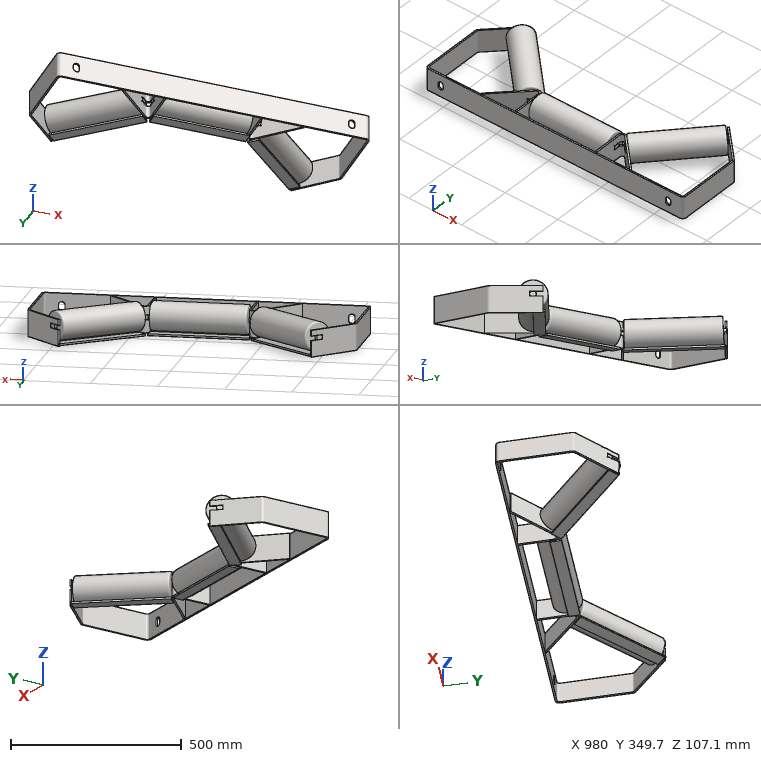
import cadquery as cq
import math

strip = 6.0
height = 80.0

lean = 45.0
half_lean = math.radians(lean / 2)

frame_length = 980.0
base_bend = 13.0
side_height = 235.0
arm_rise = 113.0
mount_hole_x = 432.0
mount_hole_length = 28.0
mount_hole_width = 20.0

leg_x = 149.0
leg_crossing_y = 147.0
leg_bend = 14.0

roller_diameter = 89.0
roller_length = 291.0
roller_edge = 5.0
support_gap = 2 * leg_x
shaft_radius = 10.0
shaft_flats = 14.0
shaft_length = support_gap + 2 * strip

slot_length = 333.0
slot_rise = 49.0

guard_length = 302.0
guard_width = 35.0
guard_top = 47.0

middle_y = 100.0
middle_z = 7.0
wing_x = 288.0
wing_y = 217.0
wing_z = 11.0
wing_tilt = 1.9

pick = 0.5


def corner_box(x, y):
    """Selector for the upright edge at one corner of a strip outline."""
    return cq.selectors.BoxSelector((x - pick, y - pick, -height), (x + pick, y + pick, height))


def make_frame():
    half = frame_length / 2
    tip_x = half - arm_rise
    tip_y = side_height + arm_rise
    skew = strip * math.sin(math.radians(lean))
    mitre = strip * math.tan(half_lean)
    right = [
        (half, 0),
        (half, side_height),
        (tip_x, tip_y),
        (tip_x - skew, tip_y - skew),
        (half - strip, side_height - mitre),
        (half - strip, strip),
    ]
    left = [(-x, y) for x, y in reversed(right)]
    frame = cq.Workplane("XY", origin=(0, 0, -height / 2)).polyline(right + left).close().extrude(height)
    outer = [right[0], right[1], left[-1], left[-2]]
    inner = [right[4], right[5], left[0], left[1]]
    for x, y in outer:
        frame = frame.edges(corner_box(x, y)).fillet(base_bend)
    for x, y in inner:
        frame = frame.edges(corner_box(x, y)).fillet(base_bend - strip)
    holes = (
        cq.Workplane("XZ")
        .pushPoints([(-mount_hole_x, 0), (mount_hole_x, 0)])
        .slot2D(mount_hole_length, mount_hole_width, 90)
        .extrude(-strip)
    )
    return frame.cut(holes)


def make_bracket(side):
    skew = strip * math.sin(math.radians(lean))
    foot_x = leg_x + leg_crossing_y - strip - 2 * skew
    inner_crossing = (leg_x + strip, leg_crossing_y - strip - 2 * skew)
    outline = [
        (leg_x, strip),
        (leg_x, leg_crossing_y),
        (foot_x + skew, strip + skew),
        (foot_x, strip),
        inner_crossing,
        (leg_x + strip, strip),
    ]
    points = [(side * x, y) for x, y in outline]
    bracket = cq.Workplane("XY", origin=(0, 0, -height / 2)).polyline(points).close().extrude(height)
    bracket = bracket.edges(corner_box(*points[1])).fillet(leg_bend)
    return bracket.edges(corner_box(*points[4])).fillet(leg_bend - strip)


def place(body, side):
    """Move a body from its own axis to the left (-1), middle (0) or right (1) place."""
    if side == 0:
        return body.translate((0, middle_y, middle_z))
    body = body.rotate((0, 0, 0), (0, 1, 0), -side * wing_tilt)
    body = body.rotate((0, 0, 0), (0, 0, 1), side * lean)
    return body.translate((side * wing_x, wing_y, wing_z))


def make_cylinder(radius, length):
    """Cylinder along X, centred on the origin."""
    return cq.Workplane("YZ", origin=(-length / 2, 0, 0)).circle(radius).extrude(length)


def make_roller():
    """Roller drum with a shaft that has two flats and reaches through both supports."""
    drum = make_cylinder(roller_diameter / 2, roller_length)
    drum = drum.faces("<X or >X").edges().fillet(roller_edge)
    shaft = make_cylinder(shaft_radius, shaft_length)
    flats = cq.Workplane("XY").box(shaft_length, 2 * shaft_radius, shaft_flats)
    return drum.union(shaft.intersect(flats))


def make_guard():
    guard = cq.Workplane("XY").box(guard_length, guard_width, strip, centered=(True, False, False))
    return guard.translate((0, 0, -guard_top - strip))


def make_slot():
    """Cutter for a shaft slot that is open towards +Y."""
    width = shaft_radius + slot_rise
    slot = cq.Workplane("XY").box(slot_length, width, shaft_flats, centered=(True, False, True))
    return slot.translate((0, -shaft_radius, 0))


sides = (-1, 1)
places = (-1, 0, 1)

frame = make_frame()
for side in sides:
    frame = frame.cut(place(make_slot(), side))
brackets = [make_bracket(side).cut(place(make_slot(), side)).cut(place(make_slot(), 0)) for side in sides]
rollers = [place(make_roller(), side) for side in places]
guards = [place(make_guard(), side).cut(frame) for side in places]

bodies = [frame, *brackets, *rollers, *guards]
result = cq.Compound.makeCompound([body.val() for body in bodies])